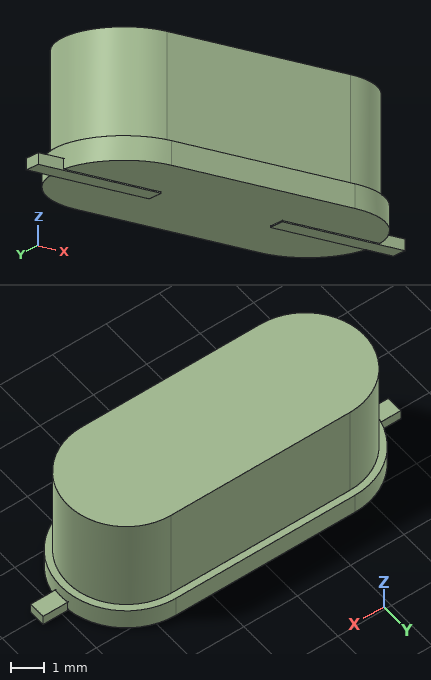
import cadquery as cq

overall_length = 13.41
overall_height = 4.35

arc_centre_spacing = 6.7
base_width = 4.9
can_width = 4.4
base_top = 0.82

lead_width = 0.62
lead_thickness = 0.38
lead_gap = 4.43
lead_standoff = 0.04
lead_length = (overall_length - lead_gap) / 2


def stadium(width, bottom, top):
    """Upright prism with straight sides and full-round ends along X."""
    return (
        cq.Workplane("XY")
        .workplane(offset=bottom)
        .slot2D(arc_centre_spacing + width, width)
        .extrude(top - bottom)
    )


def make_lead(side):
    """Flat lead lying on Z = 0; side is -1 or +1 along X."""
    centre_x = side * (lead_gap + lead_length) / 2
    return (
        cq.Workplane("XY")
        .center(centre_x, 0)
        .rect(lead_length, lead_width)
        .extrude(lead_thickness)
    )


def make_base(leads):
    """Flange with a recess in its underside for each lead."""
    base = stadium(base_width, lead_standoff, base_top)
    for lead in leads:
        base = base.cut(lead)
    return base


leads = [make_lead(side) for side in (-1, 1)]
base = make_base(leads)
can = stadium(can_width, base_top, overall_height)

result = cq.Compound.makeCompound([base.val(), can.val(), *[lead.val() for lead in leads]])